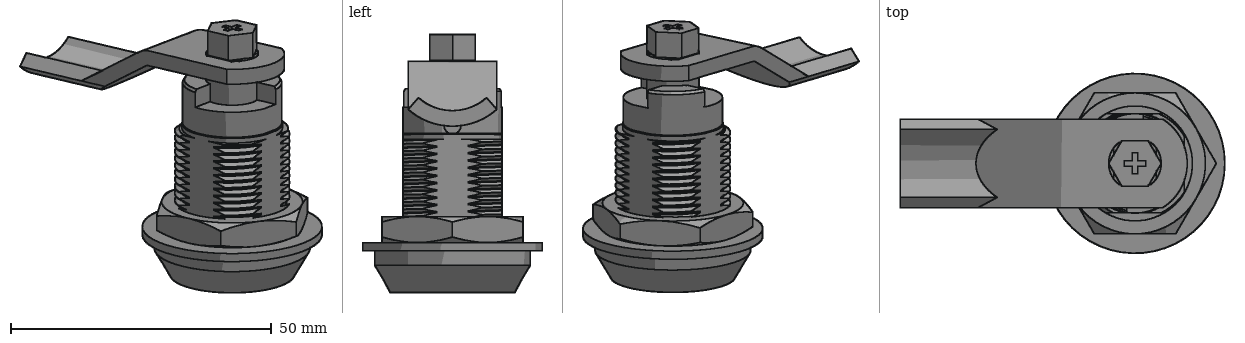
import cadquery as cq
import math

BEZEL_CONE_TOP = 5.2
FLANGE_BOTTOM = 7.95
FLANGE_TOP = 9.6
NUT_TOP = 14.55
THREAD_TOP = 29.4
NECK_TOP = 30.3
HEAD_BOTTOM = NECK_TOP + 0.2
STOP_FLOOR = 35.55
STOP_TOP = 39.1
ARM_BOTTOM = 41.35
ARM_THICKNESS = 3.0
ARM_TOP = ARM_BOTTOM + ARM_THICKNESS
BOLT_BOTTOM = ARM_TOP + 0.2
BOLT_TOP = 49.5

BEZEL_BOTTOM_RADIUS = 11.95
BEZEL_RADIUS = 14.95
FLANGE_RADIUS = 17.25
NUT_FLATS_RADIUS = 13.5
NUT_CHAMFER_HEIGHT = 1.05

THREAD_RADIUS = 11.0
THREAD_ROOT_RADIUS = 9.95
THREAD_PITCH = 1.395
GROOVE_MOUTH = 1.3
GROOVE_ROOT_WIDTH = 0.2
GROOVE_TURNS = 12
GROOVE_START_Z = 13.4
NECK_RADIUS = 9.65
BARREL_FLATS = 19.0

HEAD_RADIUS = 9.5
STEM_RADIUS = 8.1
HEAD_FLATS = 18.6
HEAD_CHAMFER_HEIGHT = 0.55
HEAD_CHAMFER_WIDTH = 0.4
STOP_OFFSET = 1.6
SIDE_HOLE_RADIUS = 1.6
SIDE_HOLE_DEPTH = 1.85
SIDE_HOLE_Z = 32.0
SHAFT_RADIUS = 5.05
POST_WIDTH = 8.1
BOLT_CORNER_RADIUS = 5.05
CROSS_LENGTH = 4.05
CROSS_WIDTH = 1.0
CROSS_DEPTH = 1.25

ARM_WIDTH = 17.0
ARM_END_RADIUS = 10.0
ARM_TIP_X = -45.0
BEND_X = -14.05
BEND_ANGLE = math.radians(31.3)
BEND_OUTER_RADIUS = 5.3
TROUGH_INNER_RADIUS = 9.85
TROUGH_OUTER_RADIUS = TROUGH_INNER_RADIUS + ARM_THICKNESS
TROUGH_AXIS_Z = 44.7
MARGIN = 0.6


def disc(radius, bottom, top):
    """Upright cylinder on the lock axis."""
    return cq.Workplane("XY", origin=(0, 0, bottom)).circle(radius).extrude(top - bottom)


def upright_box(x_size, y_size, bottom, top):
    """Box centred on the lock axis."""
    return cq.Workplane("XY", origin=(0, 0, bottom)).rect(x_size, y_size).extrude(top - bottom)


def hexagon(corner_radius, bottom, top):
    """Hexagonal prism with corners on the X axis."""
    return cq.Workplane("XY", origin=(0, 0, bottom)).polygon(6, 2 * corner_radius).extrude(top - bottom)


def make_bezel():
    """Conical bezel, its cylindrical band and the flange, as one turned profile."""
    profile = [
        (0, 0),
        (BEZEL_BOTTOM_RADIUS, 0),
        (BEZEL_RADIUS, BEZEL_CONE_TOP),
        (BEZEL_RADIUS, FLANGE_BOTTOM),
        (FLANGE_RADIUS, FLANGE_BOTTOM),
        (FLANGE_RADIUS, FLANGE_TOP),
        (0, FLANGE_TOP),
    ]
    return cq.Workplane("XZ").polyline(profile).close().revolve(360, (0, 0), (0, 1))


def make_nut():
    """Hexagonal nut, chamfered at both ends, joined to the barrel but open beside the barrel flats."""
    corner_radius = NUT_FLATS_RADIUS / math.cos(math.pi / 6)
    envelope = [
        (0, FLANGE_TOP),
        (NUT_FLATS_RADIUS, FLANGE_TOP),
        (corner_radius, FLANGE_TOP + NUT_CHAMFER_HEIGHT),
        (corner_radius, NUT_TOP - NUT_CHAMFER_HEIGHT),
        (NUT_FLATS_RADIUS, NUT_TOP),
        (0, NUT_TOP),
    ]
    turned = cq.Workplane("XZ").polyline(envelope).close().revolve(360, (0, 0), (0, 1))
    hole = disc(THREAD_RADIUS, FLANGE_TOP, NUT_TOP)
    flat_gaps = hole.cut(upright_box(BARREL_FLATS, BARREL_FLATS, FLANGE_TOP, NUT_TOP))
    return hexagon(corner_radius, FLANGE_TOP, NUT_TOP).intersect(turned).cut(flat_gaps)


def make_groove_turn(start_z):
    """One right-handed turn of the thread groove, starting at +X where the flat leaves it in the air."""
    helix = cq.Wire.makeHelix(THREAD_PITCH, THREAD_PITCH, THREAD_ROOT_RADIUS)
    depth = THREAD_RADIUS - THREAD_ROOT_RADIUS
    half_root = GROOVE_ROOT_WIDTH / 2
    flank = (GROOVE_MOUTH / 2 - half_root) / depth
    half_outer = half_root + flank * (depth + MARGIN)
    outer_radius = THREAD_RADIUS + MARGIN
    section = (
        cq.Workplane("XZ")
        .moveTo(THREAD_ROOT_RADIUS, -half_root)
        .lineTo(outer_radius, -half_outer)
        .lineTo(outer_radius, half_outer)
        .lineTo(THREAD_ROOT_RADIUS, half_root)
        .close()
    )
    return section.sweep(cq.Workplane(helix), isFrenet=True).translate((0, 0, start_z))


def make_barrel():
    """Threaded cylinder with a plain neck on top, both with four flats."""
    square = upright_box(BARREL_FLATS, BARREL_FLATS, FLANGE_TOP, NECK_TOP)
    thread = square.intersect(disc(THREAD_RADIUS, FLANGE_TOP, THREAD_TOP))
    for turn in range(GROOVE_TURNS):
        thread = thread.cut(make_groove_turn(GROOVE_START_Z + turn * THREAD_PITCH))
    neck = square.intersect(disc(NECK_RADIUS, THREAD_TOP, NECK_TOP))
    return thread.union(neck)


def make_head():
    """Rotor head with two opposite quarter stops, two side flats and a side hole."""
    reach = HEAD_RADIUS + MARGIN
    head = disc(HEAD_RADIUS, HEAD_BOTTOM, STOP_TOP)
    head = head.faces(">Z").chamfer(HEAD_CHAMFER_HEIGHT, HEAD_CHAMFER_WIDTH)
    head = head.intersect(upright_box(HEAD_FLATS, 2 * reach, HEAD_BOTTOM, STOP_TOP))
    stop_height = STOP_TOP - STOP_FLOOR
    for side in (-1, 1):
        clearance = (
            cq.Workplane("XY", origin=(0, 0, STOP_FLOOR))
            .moveTo(-side * STOP_OFFSET, side * STOP_OFFSET)
            .lineTo(-side * STOP_OFFSET, -side * reach)
            .lineTo(side * reach, -side * reach)
            .lineTo(side * reach, side * STOP_OFFSET)
            .close()
            .extrude(stop_height)
        )
        head = head.cut(clearance)
    side_hole = (
        cq.Workplane("YZ", origin=(-HEAD_FLATS / 2, 0, 0))
        .center(0, SIDE_HOLE_Z)
        .circle(SIDE_HOLE_RADIUS)
        .extrude(SIDE_HOLE_DEPTH)
    )
    return head.cut(side_hole)


def make_post():
    """Square post with rounded corners that passes through the arm."""
    square = upright_box(POST_WIDTH, POST_WIDTH, ARM_BOTTOM, BOLT_BOTTOM)
    return square.intersect(disc(SHAFT_RADIUS, ARM_BOTTOM, BOLT_BOTTOM))


def make_bolt():
    """Hexagonal bolt head with a cross recess."""
    recess_floor = BOLT_TOP - CROSS_DEPTH
    bolt = hexagon(BOLT_CORNER_RADIUS, BOLT_BOTTOM, BOLT_TOP)
    bolt = bolt.cut(upright_box(CROSS_LENGTH, CROSS_WIDTH, recess_floor, BOLT_TOP))
    return bolt.cut(upright_box(CROSS_WIDTH, CROSS_LENGTH, recess_floor, BOLT_TOP))


def make_lock():
    """Complete lock: everything except the arm."""
    stem = disc(STEM_RADIUS, NECK_TOP, HEAD_BOTTOM)
    shaft = disc(SHAFT_RADIUS, STOP_FLOOR, ARM_BOTTOM)
    rotor = stem.union(make_head()).union(shaft).union(make_post()).union(make_bolt())
    mount = make_bezel().union(make_nut())
    return make_barrel().union(mount).union(rotor)


def slope_height(x):
    """Height of the underside of the inclined length at x."""
    return ARM_BOTTOM + (x - BEND_X) * math.tan(BEND_ANGLE)


def make_bent_plate():
    """Flat length with a round end and the inclined length, as far down as the trough."""
    rise = ARM_THICKNESS / math.cos(BEND_ANGLE)
    top_corner_x = BEND_X - ARM_THICKNESS * math.tan(BEND_ANGLE / 2)
    outline = [
        (ARM_END_RADIUS, ARM_BOTTOM),
        (BEND_X, ARM_BOTTOM),
        (ARM_TIP_X, slope_height(ARM_TIP_X)),
        (ARM_TIP_X, slope_height(ARM_TIP_X) + rise),
        (top_corner_x, ARM_TOP),
        (ARM_END_RADIUS, ARM_TOP),
    ]
    plate = cq.Workplane("XZ").polyline(outline).close().extrude(ARM_WIDTH / 2, both=True)
    bend_edge = cq.selectors.NearestToPointSelector((top_corner_x, 0, ARM_TOP))
    plate = plate.edges(bend_edge).fillet(BEND_OUTER_RADIUS)

    plan_bottom = slope_height(ARM_TIP_X)
    straight = (
        cq.Workplane("XY", origin=(ARM_TIP_X / 2, 0, plan_bottom))
        .rect(-ARM_TIP_X, ARM_WIDTH)
        .extrude(ARM_TOP - plan_bottom)
    )
    return plate.intersect(straight.union(disc(ARM_END_RADIUS, plan_bottom, ARM_TOP)))


def trough_sector(radius):
    """Long pie-shaped bar below the trough axis, as wide as the arm at the outer radius."""
    half_angle = math.asin(ARM_WIDTH / 2 / TROUGH_OUTER_RADIUS)
    side_y = radius * math.sin(half_angle)
    side_z = TROUGH_AXIS_Z - radius * math.cos(half_angle)
    return (
        cq.Workplane("YZ", origin=(ARM_TIP_X, 0, 0))
        .moveTo(0, TROUGH_AXIS_Z)
        .lineTo(-side_y, side_z)
        .threePointArc((0, TROUGH_AXIS_Z - radius), (side_y, side_z))
        .close()
        .extrude(BEND_X - ARM_TIP_X)
    )


def make_trough():
    """Curved tip, cut off along the underside of the inclined length."""
    trough = trough_sector(TROUGH_OUTER_RADIUS).cut(trough_sector(TROUGH_INNER_RADIUS))
    low_z = slope_height(ARM_TIP_X)
    below_slope = (
        cq.Workplane("XZ")
        .polyline([(ARM_TIP_X, low_z), (BEND_X, ARM_BOTTOM), (BEND_X, low_z)])
        .close()
        .extrude(ARM_WIDTH, both=True)
    )
    return trough.cut(below_slope)


def make_arm():
    """Bent arm with a trough-shaped tip and a hole for the post, flat on two sides."""
    trough_floor_z = TROUGH_AXIS_Z - TROUGH_OUTER_RADIUS
    side_z = TROUGH_AXIS_Z - math.sqrt(TROUGH_OUTER_RADIUS**2 - (ARM_WIDTH / 2) ** 2)
    plate = make_bent_plate()

    kept = (
        cq.Workplane("YZ", origin=(ARM_TIP_X, 0, 0))
        .moveTo(-ARM_WIDTH / 2, side_z)
        .threePointArc((0, trough_floor_z), (ARM_WIDTH / 2, side_z))
        .lineTo(ARM_WIDTH / 2, ARM_TOP)
        .lineTo(-ARM_WIDTH / 2, ARM_TOP)
        .close()
        .extrude(ARM_END_RADIUS - ARM_TIP_X)
    )
    arm = plate.intersect(kept).union(make_trough())
    hole = disc(SHAFT_RADIUS, ARM_BOTTOM, ARM_TOP)
    hole = hole.intersect(upright_box(2 * SHAFT_RADIUS, POST_WIDTH, ARM_BOTTOM, ARM_TOP))
    return arm.cut(hole)


lock = make_lock()
arm = make_arm()
result = cq.Compound.makeCompound([lock.solids().val(), arm.solids().val()])